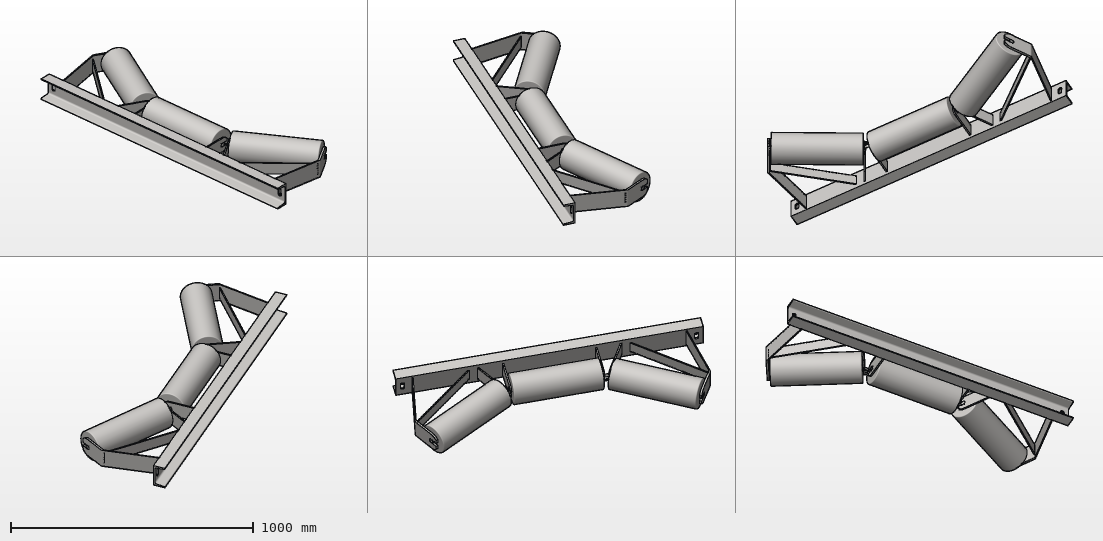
import cadquery as cq
import math


beam_length = 1300.0
beam_height = 100.0
beam_depth = 51.0
web_thickness = 6.0
flange_thickness = 8.5
flange_slope = 0.08
root_radius = 8.0
toe_radius = 4.0
slot_width = 17.0
slot_length = 36.0
slot_end_distance = 29.0

roller_diameter = 133.0
roller_length = 380.0
rim_radius = 4.0
inner_gap = 4.0
outer_gap = 4.5
axle_diameter = 21.0
axle_flat_width = 17.0
trough_angle = 30.0
middle_axis_y = 168.0
side_centre_x = 400.0
side_centre_y = 274.0

inner_thickness = 6.0
outer_thickness = 9.0
outer_width = 82.0
inner_width = 65.0
tip_distance = 31.0
outer_bend_drop = 99.0
outer_leg_lean = 10.0
outer_bend_radius = 5.0
bridge_radius = 10.0

brace_thickness = 5.0
brace_width = 52.0
brace_foot_x = 343.0

inner_reach = roller_length / 2 + inner_gap
outer_reach = roller_length / 2 + outer_gap
inner_outside = inner_reach + inner_thickness
outer_outside = outer_reach + outer_thickness
slope = math.tan(math.radians(trough_angle))
lean = math.tan(math.radians(outer_leg_lean))



def place(body, side):
    """Move a body from the origin, with its axle along X, to its roller position."""
    if side == 0:
        return body.translate((0, middle_axis_y, 0))
    turned = body.rotate((0, 0, 0), (0, 0, 1), side * trough_angle)
    return turned.translate((side * side_centre_x, side_centre_y, 0))


def right_point(along, across):
    """The (x, y) point at a distance along the right roller's axis and across it."""
    angle = math.radians(trough_angle)
    x = side_centre_x + along * math.cos(angle) - across * math.sin(angle)
    y = side_centre_y + along * math.sin(angle) + across * math.cos(angle)
    return (x, y)



def make_cylinder(diameter, start, end):
    """A cylinder about the X axis between two places along it."""
    return cq.Workplane("YZ").workplane(offset=start).circle(diameter / 2).extrude(end - start)


def make_roller(side):
    half_length = roller_length / 2
    roller = make_cylinder(roller_diameter, -half_length, half_length)
    roller = roller.edges("%CIRCLE").fillet(rim_radius)
    roller = roller.cut(make_cylinder(axle_diameter, -half_length, half_length))
    return place(roller, side)


def make_axle(side):
    """A round bar with two flats at each end, flush with the far faces of the plates that hold it."""
    left_end = -outer_outside if side < 0 else -inner_outside
    right_end = outer_outside if side > 0 else inner_outside
    axle = make_cylinder(axle_diameter, left_end, right_end)
    round_part = cq.Workplane("XY").box(2 * inner_reach, axle_diameter, axle_diameter)
    flat_part = cq.Workplane("XY").box(2 * outer_outside, axle_diameter, axle_flat_width)
    return place(axle.intersect(round_part.union(flat_part)), side)



def make_beam():
    half_height = beam_height / 2
    web_face = beam_depth - web_thickness
    toe_thickness = flange_thickness - flange_slope * beam_depth / 2
    root_thickness = toe_thickness + flange_slope * web_face
    upper_half = [
        (beam_depth, half_height),
        (0, half_height),
        (0, half_height - toe_thickness),
        (web_face, half_height - root_thickness),
    ]
    lower_half = [(y, -z) for y, z in reversed(upper_half)]
    beam = (
        cq.Workplane("YZ").workplane(offset=-beam_length / 2)
        .polyline(upper_half + lower_half).close().extrude(beam_length)
    )
    for y, z in upper_half[2:]:
        radius = toe_radius if y == 0 else root_radius
        for sign in (-1, 1):
            beam = beam.edges(cq.selectors.NearestToPointSelector((0, y, sign * z))).fillet(radius)
    slot_x = beam_length / 2 - slot_end_distance
    slots = (
        cq.Workplane("XZ").pushPoints([(-slot_x, 0), (slot_x, 0)])
        .slot2D(slot_length, slot_width, 90).extrude(-beam_depth)
    )
    return beam.cut(slots)


def make_strip(outline, width):
    """A flat bar bent to an outline in the XY plane, centred on z = 0."""
    return cq.Workplane("XY").workplane(offset=-width / 2).polyline(outline).close().extrude(width)


def round_bend(strip, point, radius):
    return strip.edges(cq.selectors.NearestToPointSelector((*point, 0))).fillet(radius)


def make_end_trim(plate_width, start, end):
    """Cutter for a plate end between two places along X: rounds the end about the axle, opens its slot."""
    length = end - start
    height = plate_width / 2
    plane = cq.Workplane("YZ").workplane(offset=start)
    above = plane.rect(height, 2 * plate_width).extrude(length).translate((0, height / 2, 0))
    kept = plane.circle(plate_width / 2).extrude(length)
    slot = plane.rect(height, axle_flat_width).extrude(length).translate((0, height / 2, 0))
    return above.cut(kept).union(slot)


def make_outer_bracket():
    half_bend = math.radians(trough_angle + outer_leg_lean) / 2
    inner_bend = right_point(outer_reach, -outer_bend_drop)
    outer_bend = right_point(outer_outside, -outer_bend_drop + outer_thickness * math.tan(half_bend))

    def foot_of(bend):
        return (bend[0] - (bend[1] - beam_depth) * lean, beam_depth)

    bracket = make_strip(
        [
            right_point(outer_reach, tip_distance),
            inner_bend,
            foot_of(inner_bend),
            foot_of(outer_bend),
            outer_bend,
            right_point(outer_outside, tip_distance),
        ],
        outer_width,
    )
    bracket = round_bend(bracket, inner_bend, outer_bend_radius)
    bracket = round_bend(bracket, outer_bend, outer_bend_radius + outer_thickness)
    return bracket.cut(place(make_end_trim(outer_width, outer_reach, outer_outside), 1))


def make_inner_bracket():
    """One strip folded over between two rollers: upright beside the middle, sloping beside the right."""
    top = middle_axis_y + tip_distance

    def on_slope(along, y):
        x, axis_y = right_point(along, 0)
        return (x - (y - axis_y) * slope, y)

    upright_corner = (inner_reach, top)
    slope_corner = on_slope(-inner_reach, top)
    bracket = make_strip(
        [
            (inner_reach, beam_depth),
            upright_corner,
            slope_corner,
            on_slope(-inner_reach, beam_depth),
            on_slope(-inner_outside, beam_depth),
            on_slope(-inner_outside, top - inner_thickness),
            (inner_outside, top - inner_thickness),
            (inner_outside, beam_depth),
        ],
        inner_width,
    )
    bracket = round_bend(bracket, upright_corner, bridge_radius)
    bracket = round_bend(bracket, slope_corner, bridge_radius)
    bracket = bracket.cut(place(make_end_trim(inner_width, inner_reach, slope_corner[0]), 0))
    return bracket.cut(place(make_end_trim(inner_width, -inner_outside, -inner_reach), 1))


def make_brace():
    """A thin flat bar from the beam up to the bend of the outer bracket."""
    bend_x, bend_y = right_point(outer_reach, -outer_bend_drop)
    run = bend_x - brace_foot_x
    rise = bend_y - beam_depth
    length = math.hypot(run, rise)
    half_cut = brace_thickness / 2 * length / rise
    outline = [
        (brace_foot_x - half_cut, beam_depth),
        (brace_foot_x + half_cut, beam_depth),
        (bend_x + half_cut, bend_y),
        (bend_x - half_cut, bend_y),
    ]
    return make_strip(outline, brace_width)


def make_frame(axles):
    """Beam, brackets and braces welded into one solid, with seats cut to fit the axles."""
    frame = make_beam()
    for part in (make_outer_bracket(), make_inner_bracket(), make_brace()):
        frame = frame.union(part).union(part.mirror("YZ"))
    for axle in axles:
        frame = frame.cut(axle)
    return frame


sides = (-1, 0, 1)
rollers = [make_roller(side) for side in sides]
axles = [make_axle(side) for side in sides]
frame = make_frame(axles)

result = cq.Compound.makeCompound(
    [frame.val(), *[roller.val() for roller in rollers], *[axle.val() for axle in axles]]
)